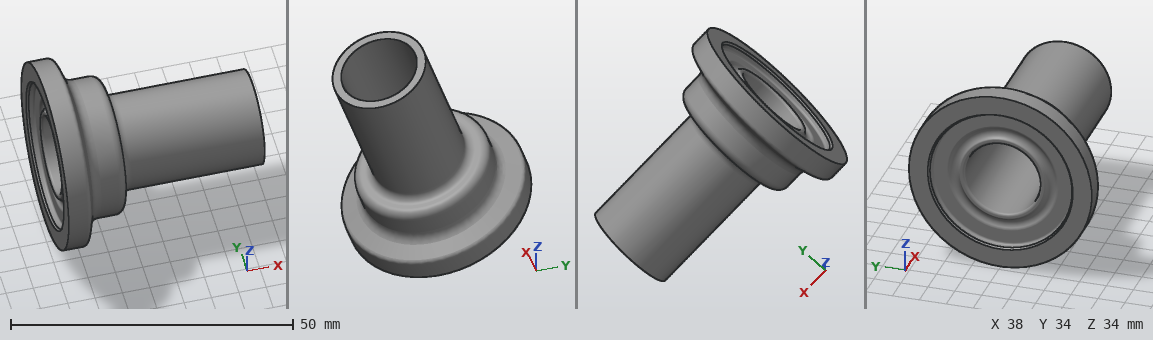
import cadquery as cq
import math

length = 38.0
tube_radius = 17.2 / 2
bore_radius = 14.0 / 2

flange_radius = 34.0 / 2
flange_corner = 4.1
back_slope = math.radians(20)
hub_radius = 25.0 / 2
hub_end = 12.0
flange_round = 0.8
hub_root_round = 1.98
hub_end_round = 1.6
tube_root_round = 1.6

recess_radius = 26.4 / 2
recess_depth = 1.5
mouth_radius = 13.5
mouth_depth = 0.4
recess_round = 0.4

groove_outer_radius = 10.37
groove_arc_outer_radius = 9.95
groove_outer_slope = math.radians(40)
groove_inner_slope = math.radians(60)
lip_shoulder_radius = 8.05
lip_outer_edge = 7.8
lip_inner_edge = 7.5


def round_circle(body, x, radius, fillet):
    """Fillet the circular edge of the given radius at position x."""
    tolerance = 0.005
    margin = radius + tolerance
    ring = body.edges(cq.selectors.BoxSelector(
        (x - tolerance, -margin, -margin),
        (x + tolerance, margin, margin),
        boundingbox=True,
    ))
    return ring.fillet(fillet)


def outer_body():
    """Revolved solid of flange, hub and tube with rounded transitions."""
    hub_start = flange_corner + (flange_radius - hub_radius) * math.tan(back_slope)
    profile = (
        cq.Workplane("XY")
        .polyline([
            (0, 0),
            (0, flange_radius),
            (flange_corner, flange_radius),
            (hub_start, hub_radius),
            (hub_end, hub_radius),
            (hub_end, tube_radius),
            (length, tube_radius),
            (length, 0),
        ])
        .close()
    )
    body = profile.revolve(360, (0, 0, 0), (1, 0, 0))
    body = round_circle(body, flange_corner, flange_radius, flange_round)
    body = round_circle(body, hub_start, hub_radius, hub_root_round)
    body = round_circle(body, hub_end, tube_radius, tube_root_round)
    return round_circle(body, hub_end, hub_radius, hub_end_round)


def inner_void():
    """Revolved void of the recess, the lip and the through bore."""
    edge_drop = (groove_outer_radius - groove_arc_outer_radius) * math.tan(groove_outer_slope / 2)
    groove_edge = recess_depth + edge_drop
    groove_width = groove_arc_outer_radius - lip_shoulder_radius
    groove_arc = groove_width / (math.sin(groove_outer_slope) + math.sin(groove_inner_slope))
    groove_center_x = groove_edge - groove_arc * math.cos(groove_outer_slope)
    groove_bottom_radius = groove_arc_outer_radius - groove_arc * math.sin(groove_outer_slope)
    lip_shoulder = groove_center_x + groove_arc * math.cos(groove_inner_slope)
    lip_top = lip_shoulder - (lip_shoulder_radius - lip_outer_edge) * math.tan(groove_inner_slope / 2)

    bore_round = lip_inner_edge - bore_radius
    bore_round_offset = bore_round * (1 - math.sqrt(0.5))
    profile = (
        cq.Workplane("XY")
        .moveTo(0, 0)
        .lineTo(0, mouth_radius)
        .lineTo(mouth_depth, recess_radius)
        .lineTo(recess_depth - recess_round, recess_radius)
        .tangentArcPoint((recess_depth, recess_radius - recess_round), relative=False)
        .lineTo(recess_depth, groove_outer_radius)
        .tangentArcPoint((groove_edge, groove_arc_outer_radius), relative=False)
        .threePointArc(
            (groove_center_x + groove_arc, groove_bottom_radius),
            (lip_shoulder, lip_shoulder_radius),
        )
        .tangentArcPoint((lip_top, lip_outer_edge), relative=False)
        .lineTo(lip_top, lip_inner_edge)
        .threePointArc(
            (lip_top + bore_round_offset, bore_radius + bore_round_offset),
            (lip_top + bore_round, bore_radius),
        )
        .lineTo(length, bore_radius)
        .lineTo(length, 0)
        .close()
    )
    return profile.revolve(360, (0, 0, 0), (1, 0, 0))


result = outer_body().cut(inner_void())